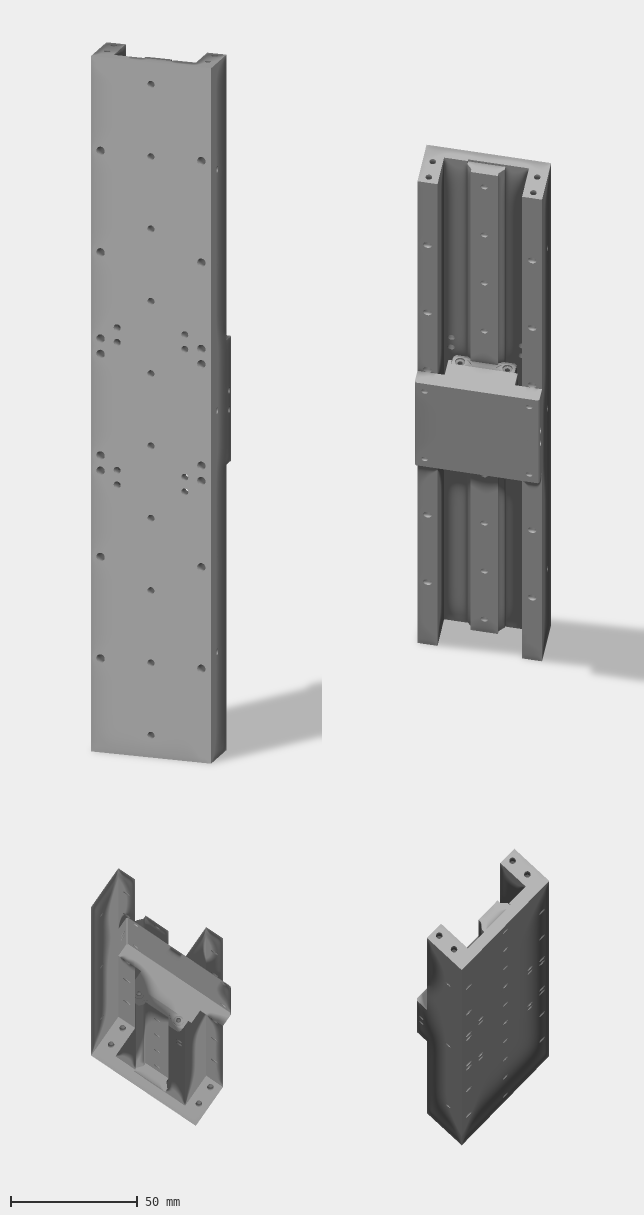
import cadquery as cq
import math

length = 288.0
width = 50.0
height = 25.0
half_width = width / 2

base_height = 19.0
channel_half_width = 17.0
floor_height = 4.3
raised_floor_height = 5.2

rail_end_inset = 1.2
rail_foot_half_width = 7.5
rail_top_half_width = 5.5
rail_shoulder_height = 5.8
rail_waist_height = 8.0
rail_top_height = 9.5

carriage_length = 51.5
carriage_chamfer = 0.5
boss_half_width = 14.0
boss_bottom = 13.0
lip_width = 1.5
lip_bottom = 11.2
runner_length = 49.8
runner_block_length = 36.0
runner_cap_length = 47.5
runner_half_width = boss_half_width - lip_width
runner_block_bottom = 5.8
runner_cap_bottom = 6.5
runner_seal_bottom = 8.4
runner_chamfer = 1.0
runner_hole_x = 9.5
runner_hole_y = 10.7
runner_bore_diameter = 4.0
runner_hole_diameter = 2.0
runner_bore_depth = 1.0
runner_hole_depth = 3.0
seal_slit_width = 0.3
seal_slit_depth = 0.5
seal_slit_outer_x = 7.0
seal_slit_outer_y = 9.0
seal_slit_rise = 2.0

drill_point_angle = 118.0
wall_hole_x = 21.0
wall_hole_diameter = 3.5
wall_hole_z = [21.0, 27.5, 63.0, 105.0]
floor_hole_x = 14.0
floor_hole_diameter = 3.0
floor_hole_z = [26.5, 32.5]
rail_hole_diameter = 3.0
rail_hole_pitch = 30.0
rail_hole_count = 10
tapped_diameter = 2.5
tapped_depth = 5.8
end_hole_y = [8.0, 16.0]
side_hole_y = 7.5
side_hole_pitch = 100.0
carriage_hole_diameter = 2.5
carriage_side_hole_y = 22.2
carriage_side_hole_z = 4.0


def prism(points, prism_length):
    """An outline in X and Y, extruded along Z and centred on Z = 0."""
    return cq.Workplane("XY").polyline(points).close().extrude(prism_length / 2, both=True)


def mirrored(half_points):
    """Closes a right-hand half outline with its mirror image about X = 0."""
    return half_points + [(-x, y) for x, y in reversed(half_points)]


def drilled_hole(mouth, direction, diameter, depth):
    """A blind hole cutter with a conical drill point beyond its full-diameter depth."""
    radius = diameter / 2
    axis = cq.Vector(*direction)
    mouth = cq.Vector(*mouth)
    point_depth = radius / math.tan(math.radians(drill_point_angle / 2))
    shank = cq.Solid.makeCylinder(radius, depth, mouth, axis)
    point = cq.Solid.makeCone(radius, 0, point_depth, mouth + axis * depth, axis)
    return shank.fuse(point)


def holes_through_y(body, places, diameter):
    """Drills round holes along Y, all the way through, at the (x, z) places."""
    for x, z in places:
        cutter = cq.Solid.makeCylinder(diameter / 2, height, cq.Vector(x, 0, z), cq.Vector(0, 1, 0))
        body = body.cut(cq.Workplane(cutter))
    return body


def symmetric_places(x, z_values):
    """The (x, z) places of a pattern mirrored about both X = 0 and Z = 0."""
    return [(sx * x, sz * z) for z in z_values for sx in (-1, 1) for sz in (-1, 1)]


def make_channel():
    return prism(
        [
            (-half_width, 0),
            (half_width, 0),
            (half_width, base_height),
            (channel_half_width, base_height),
            (channel_half_width, raised_floor_height),
            (rail_foot_half_width, raised_floor_height),
            (rail_foot_half_width, floor_height),
            (-channel_half_width, floor_height),
            (-channel_half_width, base_height),
            (-half_width, base_height),
        ],
        length,
    )


def make_rail():
    half_outline = [
        (rail_foot_half_width, floor_height),
        (rail_foot_half_width, rail_shoulder_height),
        (rail_top_half_width, rail_waist_height),
        (rail_top_half_width, rail_top_height),
    ]
    return prism(mirrored(half_outline), length - 2 * rail_end_inset)


def make_base():
    base = make_channel().union(make_rail())
    base = holes_through_y(base, symmetric_places(wall_hole_x, wall_hole_z), wall_hole_diameter)
    base = holes_through_y(base, symmetric_places(floor_hole_x, floor_hole_z), floor_hole_diameter)
    first_rail_hole_z = -rail_hole_pitch * (rail_hole_count - 1) / 2
    rail_places = [(0, first_rail_hole_z + i * rail_hole_pitch) for i in range(rail_hole_count)]
    base = holes_through_y(base, rail_places, rail_hole_diameter)
    for side in (-1, 1):
        for end in (-1, 1):
            for y in end_hole_y:
                mouth = (side * wall_hole_x, y, end * length / 2)
                base = base.cut(drilled_hole(mouth, (0, 0, -end), tapped_diameter, tapped_depth))
        for step in (-1, 0, 1):
            mouth = (side * half_width, side_hole_y, step * side_hole_pitch)
            base = base.cut(drilled_hole(mouth, (-side, 0, 0), tapped_diameter, tapped_depth))
    return base


def make_plate_and_boss():
    return prism(
        [
            (-half_width + carriage_chamfer, height),
            (-half_width, height - carriage_chamfer),
            (-half_width, base_height),
            (-boss_half_width, base_height),
            (-boss_half_width, boss_bottom),
            (boss_half_width - lip_width, boss_bottom),
            (boss_half_width - lip_width, lip_bottom),
            (boss_half_width, lip_bottom),
            (boss_half_width, base_height),
            (half_width, base_height),
            (half_width, height - carriage_chamfer),
            (half_width - carriage_chamfer, height),
        ],
        carriage_length,
    )


def make_runner_layer(bottom, layer_length):
    """One stretch of the runner, before the rail groove is cut."""
    half_outline = [
        (runner_half_width, boss_bottom),
        (runner_half_width, bottom + runner_chamfer),
        (runner_half_width - runner_chamfer, bottom),
    ]
    return prism(mirrored(half_outline), layer_length)


def make_runner():
    """A deep middle block, with a shallower cap and seal stepping up towards each end."""
    runner = make_runner_layer(runner_block_bottom, runner_block_length)
    runner = runner.union(make_runner_layer(runner_cap_bottom, runner_cap_length))
    runner = runner.union(make_runner_layer(runner_seal_bottom, runner_length))
    runner = runner.cut(make_rail())
    for side in (-1, 1):
        for end in (-1, 1):
            mouth = (side * runner_hole_x, runner_hole_y, end * runner_length / 2)
            inward = (0, 0, -end)
            runner = runner.cut(drilled_hole(mouth, inward, runner_hole_diameter, runner_hole_depth))
            bore = cq.Solid.makeCylinder(
                runner_bore_diameter / 2, runner_bore_depth, cq.Vector(*mouth), cq.Vector(*inward)
            )
            runner = runner.cut(cq.Workplane(bore))
    return cut_seal_slits(runner)


def cut_seal_slits(runner):
    """Cuts shallow slits in both end seals, slanting up and inwards over the rail's top corners."""
    for side in (-1, 1):
        outer_x = side * seal_slit_outer_x
        inner_x = side * (seal_slit_outer_x - seal_slit_rise)
        outline = [
            (outer_x, seal_slit_outer_y),
            (inner_x, seal_slit_outer_y + seal_slit_rise),
            (inner_x, seal_slit_outer_y + seal_slit_rise + seal_slit_width),
            (outer_x, seal_slit_outer_y + seal_slit_width),
        ]
        slits = prism(outline, runner_length).cut(prism(outline, runner_length - 2 * seal_slit_depth))
        runner = runner.cut(slits)
    return runner


def make_carriage():
    carriage = make_plate_and_boss().union(make_runner())
    corner_places = symmetric_places(wall_hole_x, [wall_hole_x])
    carriage = holes_through_y(carriage, corner_places, carriage_hole_diameter)
    for side in (-1, 1):
        for z in (-carriage_side_hole_z, carriage_side_hole_z):
            mouth = (side * half_width, carriage_side_hole_y, z)
            carriage = carriage.cut(drilled_hole(mouth, (-side, 0, 0), tapped_diameter, tapped_depth))
    return carriage


base = make_base()
carriage = make_carriage()
result = cq.Compound.makeCompound([base.val(), carriage.val()])